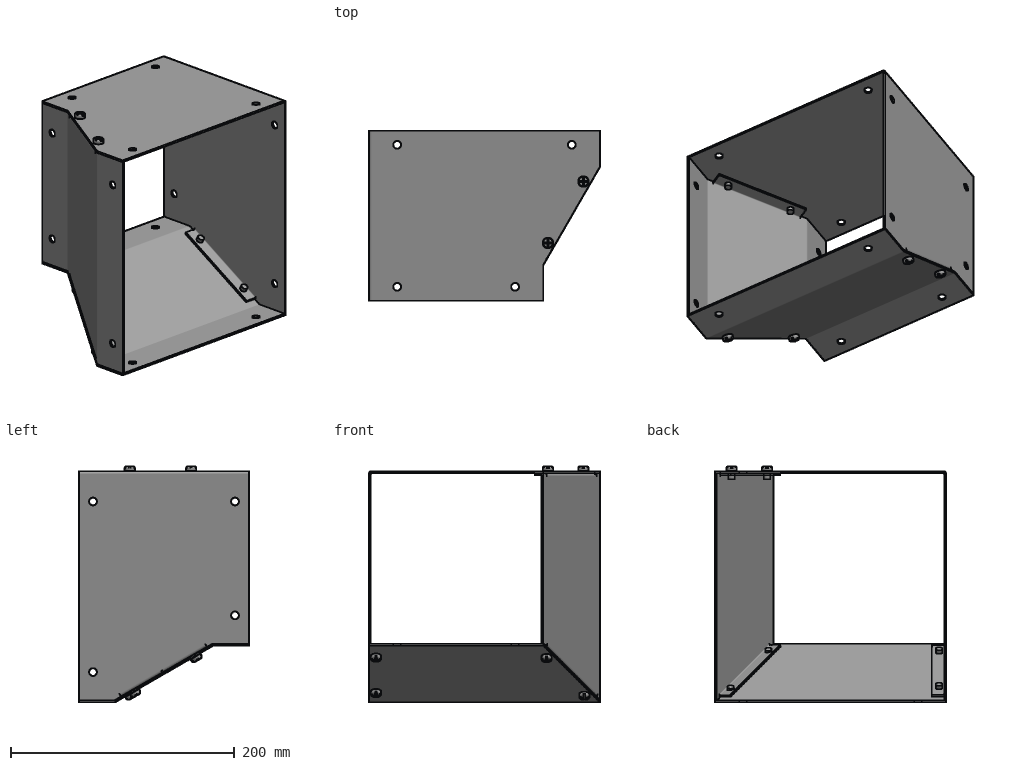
import cadquery as cq
import math

sheet = 1.8
depth = 152.3
back_size = 206.9
jog = 50.7
slope_angle = 30.0
bend_radius = 2.7

mount_diameter = 6.8
mount_end_gap = 12.7
mount_side_gap = 25.4

flange_width = 12.7
flange_end_gap = 6.3

screw_diameter = 6.0
shank_length = 7.2
screw_end_gap = 12.7
head_diameter = 9.5
head_height = 4.5
head_rounding = 2.1
head_chamfer = 0.5
slot_width = 1.5
slot_depth = 1.7
cross_length = 6.8

slope = math.radians(slope_angle)
front_size = back_size - jog
mount_height_gap = mount_side_gap + sheet
slope_run = jog / math.tan(slope)
slope_start = (depth - slope_run) / 2
over = 10.5
screw_inset = flange_width / 2

mid_x = front_size + jog / 2
mid_y = depth / 2
mid_bottom = jog / 2 + sheet / math.cos(slope)


def jog_path(inset):
    """(outward, y) points along a jogged wall, front to back, set inward from its outer face."""
    shift = inset * math.tan(slope / 2)
    return [
        (-inset, 0),
        (-inset, slope_start + shift),
        (jog - inset, slope_start + slope_run + shift),
        (jog - inset, depth),
    ]


def round_bends(prism, inset, plane):
    """Round the two bends of a prism standing on the given plane; both faces share the bend centres."""
    lift = back_size / 2
    radii = [bend_radius - sheet + inset, bend_radius - inset]
    for (out, y), radius in zip(jog_path(inset)[1:3], radii):
        spot = (front_size + out, y, lift) if plane == "XY" else (lift, y, jog - out)
        prism = prism.edges(cq.selectors.NearestToPointSelector(spot)).fillet(radius)
    return prism


def plan_prism(inset):
    """Block as tall as the duct, bounded on the right by the jogged wall profile."""
    edge = [(front_size + out, y) for out, y in jog_path(inset)]
    block = cq.Workplane("XY").polyline([(0, depth), (0, 0)] + edge).close().extrude(back_size)
    return round_bends(block, inset, "XY")


def side_prism(inset):
    """Block as wide as the duct, bounded below by the jogged wall profile."""
    edge = [(y, jog - out) for out, y in jog_path(inset)]
    roof = [(depth, back_size), (0, back_size)]
    block = cq.Workplane("YZ").polyline(roof + edge).close().extrude(back_size)
    return round_bends(block, inset, "YZ")


def mounting_holes():
    """Drills through top and bottom, and through left and right, near both duct ends."""
    drills = cq.Workplane("XY")
    for y, size in ((mount_end_gap, front_size), (depth - mount_end_gap, back_size)):
        floor = back_size - size
        columns = [(mount_side_gap, y), (size - mount_side_gap, y)]
        rows = [(y, floor + mount_height_gap), (y, back_size - mount_height_gap)]
        for plane, points in (("XY", columns), ("YZ", rows)):
            drills = drills.add(
                cq.Workplane(plane).workplane(offset=-over).pushPoints(points)
                .circle(mount_diameter / 2).extrude(back_size + 2 * over)
            )
    return drills.combine()


class Seam:
    """Sloped edge where a wall folds at a right angle into a flange beside another sheet."""

    def __init__(self, middle, direction, into, sheet_normal):
        direction = cq.Vector(*direction)
        self.middle = cq.Vector(*middle)
        self.along = direction.normalized()
        self.into = cq.Vector(*into)
        self.sheet_normal = cq.Vector(*sheet_normal)
        self.length = direction.Length - 2 * flange_end_gap

    def section(self):
        """Workplane across the flange's end: x across the flange, y along the wall."""
        start = self.middle - self.along * (self.length / 2)
        return cq.Workplane(cq.Plane(origin=start, xDir=self.into, normal=self.along))

    def screw_bases(self):
        """Workplanes on the outer face of the other sheet, one per screw, facing outward."""
        across = self.along.cross(self.sheet_normal * -1).normalized()
        axis_line = self.middle + across * screw_inset - self.sheet_normal * sheet
        reach = self.length / 2 - screw_end_gap
        places = [axis_line + self.along * (side * reach) for side in (-1, 1)]
        outward = self.sheet_normal * -1
        return [cq.Workplane(cq.Plane(origin=p, xDir=(1, 0, 0), normal=outward)) for p in places]


def fold_flange(wall, seam):
    """Replace the strip of wall beside the seam with a rounded bend and a flange."""
    strip = (
        seam.section().moveTo(0, -bend_radius)
        .lineTo(sheet, -bend_radius)
        .lineTo(sheet, bend_radius)
        .lineTo(0, bend_radius)
        .close().extrude(seam.length)
    )
    bend = (
        seam.section().moveTo(flange_width, 0)
        .lineTo(bend_radius, 0)
        .radiusArc((0, bend_radius), bend_radius)
        .lineTo(sheet, bend_radius)
        .radiusArc((bend_radius, sheet), -(bend_radius - sheet))
        .lineTo(flange_width, sheet)
        .close().extrude(seam.length)
    )
    return wall.cut(strip).union(bend)


def drill_screws(body, seams):
    for seam in seams:
        for base in seam.screw_bases():
            body = body.cut(base.circle(screw_diameter / 2).extrude(-shank_length))
    return body


def make_screw(base):
    """Slotted screw with a short cross recess; its shank fills the holes in sheet and flange."""
    head = base.circle(head_diameter / 2).extrude(head_height)
    crown = cq.selectors.NearestToPointSelector(base.plane.toWorldCoords((0, 0, head_height)))
    underside = cq.selectors.NearestToPointSelector(base.plane.origin)
    head = head.faces(crown).edges().fillet(head_rounding)
    head = head.faces(underside).chamfer(head_chamfer)
    recess = base.workplane(offset=head_height - slot_depth)
    slot = recess.rect(slot_width, head_diameter).extrude(slot_depth)
    cross = recess.rect(cross_length, slot_width).extrude(slot_depth)
    shank = base.circle(screw_diameter / 2).extrude(-shank_length)
    return head.cut(slot).cut(cross).union(shank)


right_inward = (-math.cos(slope), math.sin(slope), 0)
bottom_normal = (0, math.sin(slope), math.cos(slope))

top_right_seam = Seam(
    (mid_x, mid_y, back_size - sheet), (-jog, -slope_run, 0), right_inward, (0, 0, -1)
)
bottom_right_seam = Seam(
    (mid_x, mid_y, mid_bottom), (jog, slope_run, -jog), right_inward, bottom_normal
)
bottom_left_seam = Seam(
    (0, mid_y, mid_bottom), (0, -slope_run, jog), (1, 0, 0), bottom_normal
)
seams = [top_right_seam, bottom_right_seam, bottom_left_seam]

holes = mounting_holes()
plan = plan_prism(0)
above_bottom = side_prism(sheet)


def make_cover():
    """Top and left walls in one piece, with a flange folded onto the bottom."""
    hollow = (
        cq.Workplane("XY").box(back_size, depth, back_size - sheet, centered=False)
        .translate((sheet, 0, 0))
    )
    cover = plan.intersect(above_bottom)
    cover = cover.edges("|Y and <X and >Z").fillet(bend_radius)
    hollow = hollow.edges("|Y and <X and >Z").fillet(bend_radius - sheet)
    cover = fold_flange(cover.cut(hollow), bottom_left_seam)
    return drill_screws(cover.cut(holes), seams)


def make_bottom():
    """Jogged bottom sheet, reaching to the outer faces of the side walls."""
    band = side_prism(0).cut(above_bottom)
    return drill_screws(band.intersect(plan).cut(holes), seams)


def make_right_wall():
    """Jogged right wall between top and bottom, with a flange folded onto each."""
    below_top = cq.Workplane("XY").box(back_size, depth, back_size - sheet, centered=False)
    band = plan.cut(plan_prism(sheet))
    wall = band.intersect(above_bottom).intersect(below_top).cut(holes)
    for seam in (top_right_seam, bottom_right_seam):
        wall = fold_flange(wall, seam)
    return drill_screws(wall, seams)


cover = make_cover()
bottom = make_bottom()
right_wall = make_right_wall()
screws = [make_screw(base).val() for seam in seams for base in seam.screw_bases()]

result = cq.Compound.makeCompound([cover.val(), bottom.val(), right_wall.val(), *screws])